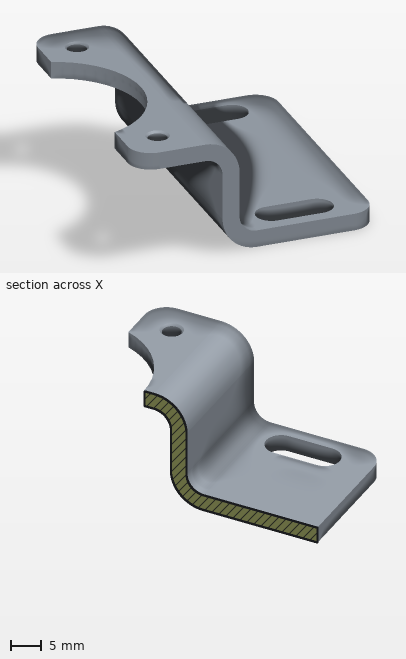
import cadquery as cq

width = 48.0
depth = 42.0
height = 20.0

thickness = 3.0
outer_bend = 6.0
inner_bend = outer_bend - thickness
wall_from_back = 24.0
corner_radius = 4.0

slot_width = 5.45
slot_length = 13.45
slot_spacing = 38.0
slot_from_back = 12.5

hole_diameter = 3.25
countersink_diameter = 4.0
hole_spacing = 36.0
hole_from_front = 6.0

clearance_radius = 15.0
clearance_offset = 4.8

wall_back = depth - wall_from_back
wall_front = wall_back - thickness


def bent_sheet():
    """Z-shaped sheet profile extruded across the width, with rounded bends."""
    sheet = (
        cq.Workplane("YZ")
        .moveTo(depth, 0)
        .lineTo(wall_front, 0)
        .lineTo(wall_front, height - thickness)
        .lineTo(0, height - thickness)
        .lineTo(0, height)
        .lineTo(wall_back, height)
        .lineTo(wall_back, thickness)
        .lineTo(depth, thickness)
        .close()
        .extrude(width / 2, both=True)
    )
    outer_edges = [(wall_front, 0), (wall_back, height)]
    inner_edges = [(wall_front, height - thickness), (wall_back, thickness)]
    for edges, radius in ((outer_edges, outer_bend), (inner_edges, inner_bend)):
        for y, z in edges:
            nearest = cq.selectors.NearestToPointSelector((0, y, z))
            sheet = sheet.edges(nearest).fillet(radius)
    return sheet.edges("|Z").edges("<Y or >Y").fillet(corner_radius)


def slots():
    """Cutters for the pair of mounting slots, running along Y."""
    slot_y = depth - slot_from_back
    return (
        cq.Workplane("XY")
        .pushPoints([(side * slot_spacing / 2, slot_y) for side in (-1, 1)])
        .slot2D(slot_length, slot_width, 90)
        .extrude(thickness)
    )


def countersunk_holes(body):
    """Drill the upper flange and break the top rims at 45 degrees."""
    return (
        body.copyWorkplane(cq.Workplane("XY", origin=(0, 0, height)))
        .pushPoints([(side * hole_spacing / 2, hole_from_front) for side in (-1, 1)])
        .cskHole(hole_diameter, countersink_diameter, 90, depth=thickness)
    )


def clearance():
    """Cutter for the arc-shaped notch in the upper flange."""
    return (
        cq.Workplane("XY", origin=(0, -clearance_offset, height - thickness))
        .circle(clearance_radius)
        .extrude(thickness)
    )


bracket = bent_sheet().cut(slots()).cut(clearance())
result = countersunk_holes(bracket)